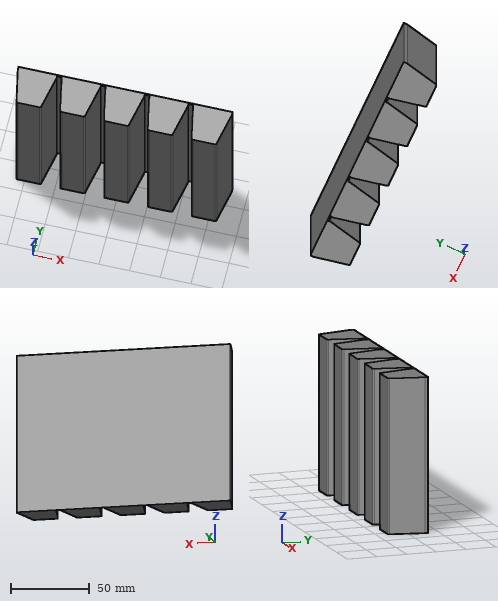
import cadquery as cq
import math

height = 101.6
depth = 25.4

tooth_count = 5
tooth_width = 25.4
tooth_pitch = 28.575
root_height = 2.4
flank_angle = 11.7
tip_radius = 1.05

web_thickness = 1.15
back_corner_radius = 0.4

center_span = (tooth_count - 1) * tooth_pitch
taper_start = depth - root_height
root_half = tooth_width / 2
tip_half = root_half - taper_start * math.tan(math.radians(flank_angle))


def make_tooth(center_x):
    """Tooth with a straight root, tapered flanks and rounded tip edges."""
    outline = [
        (-root_half, depth),
        (-root_half, taper_start),
        (-tip_half, 0),
        (tip_half, 0),
        (root_half, taper_start),
        (root_half, depth),
    ]
    tooth = cq.Workplane("XY").polyline(outline).close().extrude(height)
    tooth = tooth.faces("<Y").edges("|Z").fillet(tip_radius)
    return tooth.translate((center_x, 0, 0))


def make_web():
    """Thin plate flush with the back, running between the end teeth."""
    web = cq.Workplane("XY").box(center_span, web_thickness, height, centered=(True, False, False))
    return web.translate((0, depth - web_thickness, 0))


def round_back_corners(body):
    """Round the two outer vertical edges of the back face."""
    return body.faces(">Y").edges("|Z").edges("<X or >X").fillet(back_corner_radius)


rack = make_web()
for index in range(tooth_count):
    rack = rack.union(make_tooth(index * tooth_pitch - center_span / 2))

result = round_back_corners(rack)